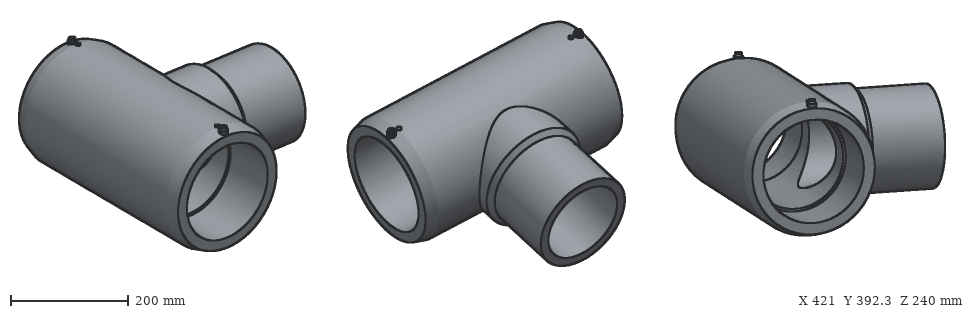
import cadquery as cq

run_length = 421.0
run_radius = 116.5
end_radius = 110.0
end_taper_length = 23.5
socket_radius = 90.0
stop_radius = 85.5
socket_depth = 98.5

branch_reach = 275.8
branch_radius = 90.0
branch_bore_radius = 73.5
collar_radius = 100.0
collar_reach = 136.5
collar_taper_length = 9.5

terminal_inset = 10.5
terminal_flange_radius = 8.0
terminal_flange_top = 116.5
terminal_post_radius = 6.0
terminal_top = 123.5
terminal_chamfer = 1.3
terminal_hole_radius = 3.0
terminal_hole_depth = 5.0
pin_inset = 26.5
pin_radius = 4.0
pin_height = 1.3
pin_top = run_radius + pin_height
root_height = 105.2

half_length = run_length / 2


def make_run():
    """Solid run with a tapered outside at both ends."""
    profile = [
        (-half_length, 0),
        (-half_length, end_radius),
        (-half_length + end_taper_length, run_radius),
        (half_length - end_taper_length, run_radius),
        (half_length, end_radius),
        (half_length, 0),
    ]
    return cq.Workplane("XY").polyline(profile).close().revolve(360, (0, 0), (1, 0))


def make_branch():
    """Solid spigot with a wider, tapered collar next to the run."""
    profile = [
        (0, 0),
        (collar_radius, 0),
        (collar_radius, collar_reach),
        (branch_radius, collar_reach + collar_taper_length),
        (branch_radius, branch_reach),
        (0, branch_reach),
    ]
    return cq.Workplane("XY").polyline(profile).close().revolve(360, (0, 0), (0, 1))


def make_bores():
    """Through bore with a socket at each end, plus the bore of the branch."""
    bores = cq.Workplane("YZ", origin=(-half_length, 0, 0)).circle(stop_radius).extrude(run_length)
    for side in (-1, 1):
        socket = cq.Workplane("YZ", origin=(side * half_length, 0, 0)).circle(socket_radius)
        bores = bores.union(socket.extrude(-side * socket_depth))
    branch_bore = cq.Workplane("XZ").circle(branch_bore_radius).extrude(-branch_reach)
    return bores.union(branch_bore)


def upright(x, radius, top):
    """Vertical cylinder rooted in the wall of the run."""
    return cq.Workplane("XY", origin=(x, 0, root_height)).circle(radius).extrude(top - root_height)


def make_terminal(x):
    """Flanged contact post with a blind hole in its top."""
    post = upright(x, terminal_post_radius, terminal_top).faces(">Z").chamfer(terminal_chamfer)
    post = post.faces(">Z").workplane().hole(2 * terminal_hole_radius, terminal_hole_depth)
    return upright(x, terminal_flange_radius, terminal_flange_top).union(post)


result = make_run().union(make_branch()).cut(make_bores())
for side in (-1, 1):
    result = result.union(make_terminal(side * (half_length - terminal_inset)))
    result = result.union(upright(side * (half_length - pin_inset), pin_radius, pin_top))